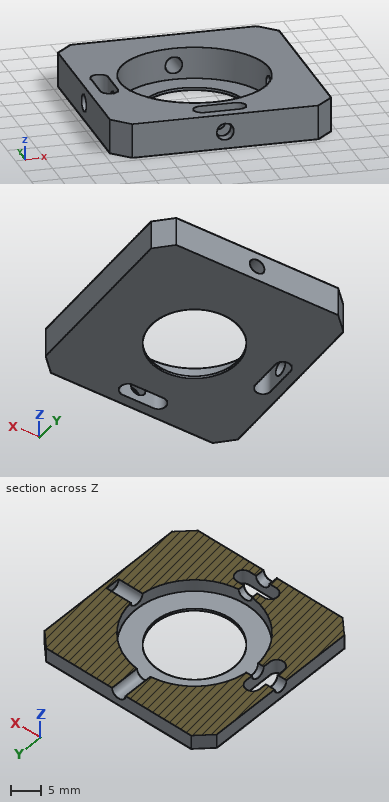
import cadquery as cq

plate_side = 38.0
plate_thickness = 6.0
corner_chamfer = 3.0

seat_diameter = 25.6
lip_bore_diameter = 17.16
lip_thickness = 0.5

slot_length = 9.0
slot_width = 3.0
slot_distance_from_x_edge = 3.5
slot_distance_from_y_edge = 3.43

screw_hole_diameter = 2.9
closed_end_wall = 1.0

half_side = plate_side / 2
screw_hole_height = plate_thickness / 2


def make_plate():
    """Square plate with its four vertical corners chamfered."""
    plate = cq.Workplane("XY").box(
        plate_side, plate_side, plate_thickness, centered=(True, True, False)
    )
    return plate.edges("|Z").chamfer(corner_chamfer)


def make_seat():
    """Stepped round opening: the lip bore with the wider seat above the lip."""
    bore = cq.Workplane("XY").circle(lip_bore_diameter / 2).extrude(plate_thickness)
    seat = (
        cq.Workplane("XY", origin=(0, 0, lip_thickness))
        .circle(seat_diameter / 2)
        .extrude(plate_thickness - lip_thickness)
    )
    return bore.union(seat)


def make_slot(x, y, angle):
    """Round-ended slot through the plate, its long axis turned by angle degrees from X."""
    return (
        cq.Workplane("XY")
        .center(x, y)
        .slot2D(slot_length, slot_width, angle)
        .extrude(plate_thickness)
    )


def make_screw_hole(start, direction, length):
    """Round hole from the start point along the given direction."""
    radius = screw_hole_diameter / 2
    hole = cq.Solid.makeCylinder(radius, length, cq.Vector(*start), cq.Vector(*direction))
    return cq.Workplane(hole)


result = make_plate().cut(make_seat())

result = result.cut(make_slot(slot_distance_from_x_edge - half_side, 0, 90))
result = result.cut(make_slot(0, slot_distance_from_y_edge - half_side, 0))

y_hole_start = (0, -half_side, screw_hole_height)
x_hole_start = (-half_side, 0, screw_hole_height)
result = result.cut(make_screw_hole(y_hole_start, (0, 1, 0), plate_side))
result = result.cut(make_screw_hole(x_hole_start, (1, 0, 0), plate_side - closed_end_wall))